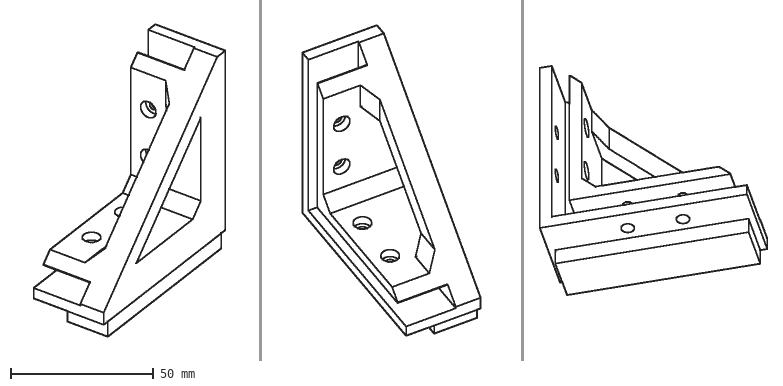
import cadquery as cq

LEG = 75.0
WIDTH = 30.0
TIP = 5.05
WALL = 4.4
SLOT = 6.35
POCKET_DEPTH = 20.0
BAR = 10.0
CORNER_CHAMFER = 5.05
GUSSET = 5.05

HOLE_X = 7.5
HOLE_POSITIONS = (30.0, 50.0)
SCREW_DIAMETER = 3.4
HEAD_DIAMETER = 6.5
HEAD_DEPTH = 3.25
OUTER_DIAMETER = 4.6

ARM_END = 69.0

KEY_WIDTH = 17.3
KEY_HEIGHT = 6.35
KEY_END_GAP = 2.5

SLOT_END = WALL + SLOT
INNER_FACE = SLOT_END + WALL
SLOPE_SUM = LEG + TIP
BAR_SUM = SLOPE_SUM - BAR


def side_prism(points, x_start, x_end):
    """Extrude an outline given as (distance from back face, height) along X."""
    outline = [(-distance, height) for distance, height in points]
    return (
        cq.Workplane("YZ", origin=(x_start, 0, 0))
        .polyline(outline)
        .close()
        .extrude(x_end - x_start)
    )


def corner_outline(offset, hypotenuse_sum):
    """Right triangle with both legs moved in by offset."""
    far = hypotenuse_sum - offset
    return [(offset, offset), (far, offset), (offset, far)]


def chamfered_outline(hypotenuse_sum):
    """Triangle inside the inner wall with its right-angled corner chamfered."""
    far = hypotenuse_sum - INNER_FACE
    chamfer_end = INNER_FACE + CORNER_CHAMFER
    return [
        (chamfer_end, INNER_FACE),
        (far, INNER_FACE),
        (INNER_FACE, far),
        (INNER_FACE, chamfer_end),
    ]


def make_blank():
    return side_prism([(0, 0), (LEG, 0), (LEG, TIP), (TIP, LEG), (0, LEG)], 0, WIDTH)


def make_slot():
    """L-shaped slot between the outer and inner walls."""
    outer = side_prism(corner_outline(WALL, SLOPE_SUM), 0, POCKET_DEPTH)
    blunt = SLOPE_SUM - ARM_END
    core_outline = [
        (SLOT_END, SLOT_END),
        (ARM_END, SLOT_END),
        (ARM_END, blunt),
        (blunt, ARM_END),
        (SLOT_END, ARM_END),
    ]
    core = side_prism(core_outline, 0, POCKET_DEPTH)
    return outer.cut(core)


def wedge_outline():
    """Triangle in the corner of the inner wall and the sloping bar."""
    return [
        (INNER_FACE, POCKET_DEPTH),
        (INNER_FACE, POCKET_DEPTH - GUSSET),
        (INNER_FACE + GUSSET, POCKET_DEPTH),
    ]


def make_gussets():
    """Wedges that join both inner walls to the sloping bar."""
    upper = (
        cq.Workplane("XY")
        .polyline([(x, -distance) for distance, x in wedge_outline()])
        .close()
        .extrude(LEG)
    )
    lower = (
        cq.Workplane("XZ")
        .polyline([(x, distance) for distance, x in wedge_outline()])
        .close()
        .extrude(LEG)
    )
    bar = side_prism(corner_outline(INNER_FACE, SLOPE_SUM), 0, WIDTH).cut(make_window())
    return upper.union(lower).intersect(bar)


def make_window():
    """Opening through the full width, inside the sloping bar."""
    return side_prism(chamfered_outline(BAR_SUM), 0, WIDTH)


def make_holes():
    """Stepped screw holes through both legs."""
    points = [(HOLE_X, position) for position in HOLE_POSITIONS]
    steps = (
        (0, WALL, OUTER_DIAMETER),
        (SLOT_END, WALL - HEAD_DEPTH, SCREW_DIAMETER),
        (INNER_FACE - HEAD_DEPTH, HEAD_DEPTH, HEAD_DIAMETER),
    )
    holes = cq.Workplane("XY")
    for start, length, diameter in steps:
        back = (
            cq.Workplane("XZ", origin=(0, -start, 0))
            .pushPoints(points)
            .circle(diameter / 2)
            .extrude(length)
        )
        base = (
            cq.Workplane("XY", origin=(0, 0, start))
            .pushPoints([(x, -position) for x, position in points])
            .circle(diameter / 2)
            .extrude(length)
        )
        holes = holes.add(back).add(base)
    return holes.combine()


def make_bracket():
    inner_space = side_prism(chamfered_outline(SLOPE_SUM), 0, POCKET_DEPTH)
    return (
        make_blank()
        .cut(make_slot())
        .cut(inner_space.cut(make_gussets()))
        .cut(make_window())
        .cut(make_holes())
    )


def make_key():
    """Bar under the base, flush with the closed side of the bracket."""
    return cq.Workplane("XY").box(
        KEY_WIDTH, LEG - 2 * KEY_END_GAP, KEY_HEIGHT, centered=False
    ).translate((WIDTH - KEY_WIDTH, KEY_END_GAP - LEG, -KEY_HEIGHT))


bracket = make_bracket()
key = make_key()

result = cq.Compound.makeCompound([bracket.val(), key.val()])